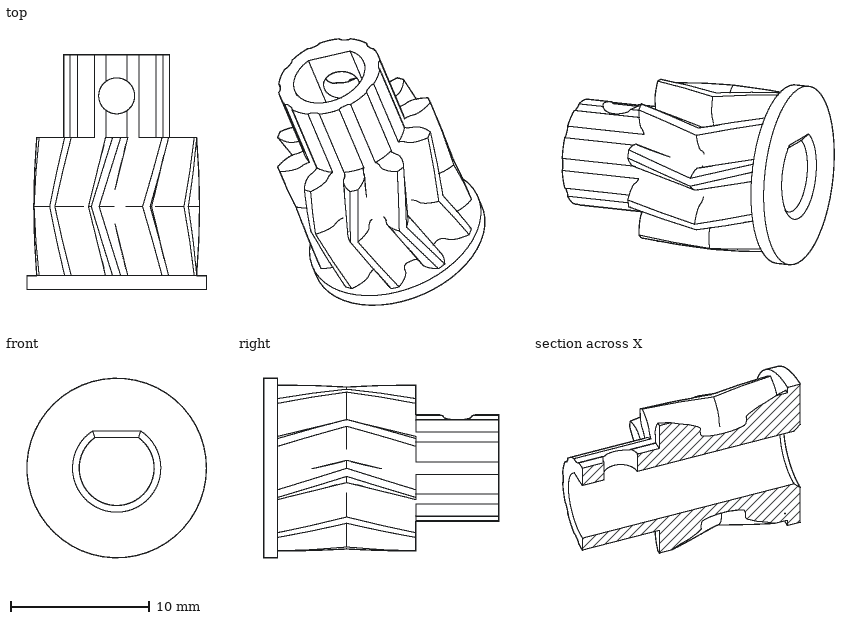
import cadquery as cq
import math

flange_thickness = 1.0
gear_width = 10.0
overall_length = 17.0

flange_diameter = 13.0
hub_diameter = 7.72

tooth_count = 10
tip_diameter = 12.0
root_diameter = 7.45
pressure_angle = math.radians(20)
root_fillet = 0.42
twist_degrees = 15.0
flank_point_count = 8

bore_diameter = 5.4
flat_height = 2.2
bore_chamfer = 0.5
cross_hole_diameter = 2.6
cross_hole_from_end = 3.0

tip_radius = tip_diameter / 2
root_radius = root_diameter / 2
module = tip_diameter / (tooth_count + 2)
base_radius = module * tooth_count / 2 * math.cos(pressure_angle)
tooth_pitch = 2 * math.pi / tooth_count
hub_length = overall_length - flange_thickness - gear_width


def involute(angle):
    return math.tan(angle) - angle


base_half_angle = tooth_pitch / 4 + involute(pressure_angle)


def polar(radius, angle):
    """Point at an angle measured from +Z towards +X."""
    return (radius * math.sin(angle), radius * math.cos(angle))


def involute_flank():
    """Radius and half angle of points along one involute, from base circle to tip."""
    tip_roll = math.sqrt((tip_radius / base_radius) ** 2 - 1)
    points = []
    for i in range(flank_point_count):
        roll = tip_roll * i / (flank_point_count - 1)
        radius = base_radius * math.hypot(1, roll)
        points.append((radius, base_half_angle - involute(math.atan(roll))))
    return points


def gear_outline(start_y):
    """Closed gear outline: flanks with a radial foot and an involute, root fillets and root arcs."""
    fillet_center_radius = root_radius + root_fillet
    fillet_span = math.asin(root_fillet / fillet_center_radius)
    root_start = base_half_angle + fillet_span
    foot_radius = fillet_center_radius * math.cos(fillet_span)
    flank = [(foot_radius, base_half_angle)] + involute_flank()

    def fillet_middle(tooth, side):
        """Middle of the fillet arc on one side of a tooth."""
        center = polar(fillet_center_radius, tooth + side * root_start)
        direction = tooth + side * (root_start + math.pi + (math.pi / 2 - fillet_span) / 2)
        offset = polar(root_fillet, direction)
        return (center[0] + offset[0], center[1] + offset[1])

    plane = cq.Plane(origin=(0, start_y, 0), xDir=(1, 0, 0), normal=(0, -1, 0))
    outline = cq.Workplane(plane).moveTo(*polar(root_radius, -root_start))
    for i in range(tooth_count):
        tooth = i * tooth_pitch
        rising = [polar(r, tooth - a) for r, a in flank]
        falling = [polar(r, tooth + a) for r, a in reversed(flank)]
        outline = outline.threePointArc(fillet_middle(tooth, -1), rising[0])
        outline = outline.spline(rising[1:], includeCurrent=True)
        outline = outline.threePointArc(polar(tip_radius, tooth), falling[0])
        outline = outline.spline(falling[1:], includeCurrent=True)
        outline = outline.threePointArc(fillet_middle(tooth, 1), polar(root_radius, tooth + root_start))
        gap = tooth + tooth_pitch / 2
        outline = outline.threePointArc(
            polar(root_radius, gap), polar(root_radius, tooth + tooth_pitch - root_start)
        )
    return outline.close()


def disc(diameter, start_y, length):
    """Cylinder along +Y."""
    plane = cq.Workplane("XZ", origin=(0, start_y, 0))
    return plane.circle(diameter / 2).extrude(-length)


def herringbone_gear():
    """Two mirrored helical halves that meet at the middle of the gear."""
    middle_y = flange_thickness + gear_width / 2
    half = gear_outline(flange_thickness + gear_width).twistExtrude(gear_width / 2, twist_degrees)
    return half.union(half.mirror("XZ", (0, middle_y, 0)))


def hub():
    """Cylinder notched by the tooth gaps of the gear."""
    prism = gear_outline(overall_length).extrude(hub_length)
    return prism.intersect(disc(hub_diameter, overall_length - hub_length, hub_length))


def bore():
    """Round bore with a flat towards +Z, along the whole part."""
    above_flat = cq.Workplane("XY", origin=(0, overall_length / 2, flat_height)).box(
        bore_diameter, overall_length, bore_diameter, centered=(True, True, False)
    )
    return disc(bore_diameter, 0, overall_length).cut(above_flat)


def cross_hole():
    """Radial hole from the top of the hub into the bore."""
    center = cq.Workplane("XY", origin=(0, overall_length - cross_hole_from_end, 0))
    return center.circle(cross_hole_diameter / 2).extrude(hub_diameter / 2)


body = disc(flange_diameter, 0, flange_thickness).union(herringbone_gear()).union(hub())
body = body.cut(bore())

bore_mouth = body.faces("<Y").val().innerWires()[0]
body = body.newObject(bore_mouth.Edges()).chamfer(bore_chamfer)

result = body.cut(cross_hole())